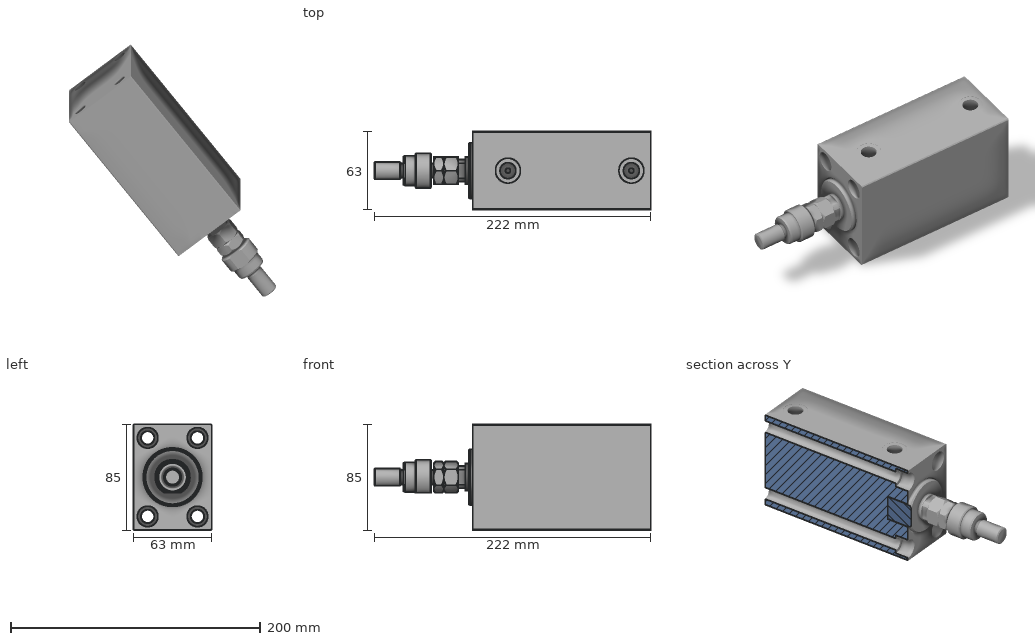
import cadquery as cq
import math


HOUSING_LENGTH = 143.0
HOUSING_WIDTH = 63.0
HOUSING_HEIGHT = 85.0
LONG_EDGE_CHAMFER = 0.8

BOLT_SPACING_Y = 40.0
BOLT_SPACING_Z = 63.0
BOLT_HOLE_DIAMETER = 10.5
BOLT_HEAD_DIAMETER = 16.5
BOLT_HEAD_DEPTH = 12.0

FRONT_PORT_X = 28.3
PORT_SPACING = 99.0
PORT_DIAMETER = 12.8
PORT_DEPTH = 15.0
PORT_SEAT_DIAMETER = 20.0
PORT_SEAT_DEPTH = 0.2
PORT_DRILL_DIAMETER = 4.0

GLAND_DIAMETER = 45.0
GLAND_PROJECTION = 3.2
GLAND_INSERTION = 20.0
GLAND_CHAMFER_LENGTH = 1.3
GLAND_CHAMFER_DEPTH = 0.9
GLAND_SEAT_CHAMFER = 1.0

ROD_DIAMETER = 22.0
ROD_COLLAR_LENGTH = 2.8
ROD_FLATS_LENGTH = 5.4
ROD_FLATS_WIDTH = 18.0
ROD_FLATS_CORNER_DIAMETER = 21.6
ROD_PAST_REAR_PORT = 6.0
THREAD_DIAMETER = 14.0
THREAD_IN_COUPLING = 6.0

HEX_ACROSS_FLATS = 22.0
LOCK_NUT_LENGTH = 11.7
COUPLING_HEX_LENGTH = 8.2

NECK_DIAMETER = 11.8
NECK_LENGTH = 1.9
CASE_DIAMETER = 28.0
CASE_LENGTH = 12.9
CASE_CHAMFER = 0.9
CASE_FLAT_DISTANCE = 12.7
SHOULDER_DIAMETER = 24.0
SHOULDER_LENGTH = 9.4
SHOULDER_CHAMFER_LENGTH = 1.3
SHOULDER_CHAMFER_DEPTH = 0.7
UNDERCUT_LENGTH = 2.1
STUD_LENGTH = 21.4
STUD_TIP_CHAMFER_LENGTH = 0.7
STUD_END_CHAMFER_LENGTH = 1.0

gland_front_x = -GLAND_PROJECTION
collar_front_x = gland_front_x - ROD_COLLAR_LENGTH
nut_rear_x = collar_front_x - ROD_FLATS_LENGTH
hex_rear_x = nut_rear_x - LOCK_NUT_LENGTH
hex_front_x = hex_rear_x - COUPLING_HEX_LENGTH
case_rear_x = hex_front_x - NECK_LENGTH
case_front_x = case_rear_x - CASE_LENGTH
shoulder_front_x = case_front_x - SHOULDER_LENGTH
stud_rear_x = shoulder_front_x - UNDERCUT_LENGTH
tip_x = stud_rear_x - STUD_LENGTH
thread_front_x = hex_rear_x - THREAD_IN_COUPLING

port_positions_x = [FRONT_PORT_X, FRONT_PORT_X + PORT_SPACING]
rod_rear_x = port_positions_x[-1] + ROD_PAST_REAR_PORT


def axial_cylinder(diameter, start_x, end_x):
    """Cylinder about the rod axis."""
    return cq.Workplane("YZ").workplane(offset=start_x).circle(diameter / 2).extrude(end_x - start_x)


def turned(profile):
    """Solid turned about the rod axis from (x, radius) points that start and end on the axis."""
    return cq.Workplane("XY").polyline(profile).close().revolve(360, (0, 0, 0), (1, 0, 0))


def chamfered_hex(start_x, length):
    """Hexagon bar with corners up and down, its corners turned off conically at both ends."""
    across_corners = HEX_ACROSS_FLATS / math.cos(math.radians(30))
    flat_radius = HEX_ACROSS_FLATS / 2
    corner_radius = across_corners / 2
    chamfer = corner_radius - flat_radius
    end_x = start_x + length
    bar = (
        cq.Workplane("YZ")
        .workplane(offset=start_x)
        .polygon(6, across_corners)
        .extrude(length)
        .rotate((0, 0, 0), (1, 0, 0), 90)
    )
    envelope = turned(
        [
            (start_x, 0),
            (start_x, flat_radius),
            (start_x + chamfer, corner_radius),
            (end_x - chamfer, corner_radius),
            (end_x, flat_radius),
            (end_x, 0),
        ]
    )
    return bar.intersect(envelope)


def make_port(center_x):
    """Threaded port from the top face: shallow seat, port bore and a small drill down to the rod."""
    top_z = HOUSING_HEIGHT / 2
    steps = [
        (PORT_SEAT_DIAMETER, PORT_SEAT_DEPTH),
        (PORT_DIAMETER, PORT_DEPTH),
        (PORT_DRILL_DIAMETER, top_z),
    ]
    top = cq.Workplane("XY").center(center_x, 0).workplane(offset=top_z)
    port = cq.Workplane("XY")
    for diameter, depth in steps:
        port = port.add(top.circle(diameter / 2).extrude(-depth))
    return port.combine()


def make_housing():
    """Rectangular block with counterbored bolt holes, two ports, the gland seat and the rod bore."""
    housing = (
        cq.Workplane("XY")
        .box(HOUSING_LENGTH, HOUSING_WIDTH, HOUSING_HEIGHT, centered=(False, True, True))
        .edges("|X")
        .chamfer(LONG_EDGE_CHAMFER)
    )
    housing = (
        housing.faces("<X")
        .workplane(centerOption="CenterOfBoundBox")
        .rect(BOLT_SPACING_Y, BOLT_SPACING_Z, forConstruction=True)
        .vertices()
        .cboreHole(BOLT_HOLE_DIAMETER, BOLT_HEAD_DIAMETER, BOLT_HEAD_DEPTH)
    )
    for center_x in port_positions_x:
        housing = housing.cut(make_port(center_x))

    seat_radius = GLAND_DIAMETER / 2
    gland_seat = turned(
        [
            (0, 0),
            (0, seat_radius + GLAND_SEAT_CHAMFER),
            (GLAND_SEAT_CHAMFER, seat_radius),
            (GLAND_INSERTION, seat_radius),
            (GLAND_INSERTION, 0),
        ]
    )
    rod_bore = axial_cylinder(ROD_DIAMETER, 0, rod_rear_x)
    return housing.cut(gland_seat).cut(rod_bore)


def make_gland():
    """Round guide bush that stands proud of the housing and carries the rod."""
    radius = GLAND_DIAMETER / 2
    gland = turned(
        [
            (gland_front_x, 0),
            (gland_front_x, radius - GLAND_CHAMFER_DEPTH),
            (gland_front_x + GLAND_CHAMFER_LENGTH, radius),
            (GLAND_INSERTION, radius),
            (GLAND_INSERTION, 0),
        ]
    )
    return gland.cut(axial_cylinder(ROD_DIAMETER, gland_front_x, GLAND_INSERTION))


def make_rod():
    """Rod with a square set of wrench flats and a threaded end for the nut and coupling."""
    body = axial_cylinder(ROD_DIAMETER, collar_front_x, rod_rear_x)
    flats = (
        cq.Workplane("YZ")
        .workplane(offset=nut_rear_x)
        .rect(ROD_FLATS_WIDTH, ROD_FLATS_WIDTH)
        .extrude(ROD_FLATS_LENGTH)
        .intersect(axial_cylinder(ROD_FLATS_CORNER_DIAMETER, nut_rear_x, collar_front_x))
    )
    thread = axial_cylinder(THREAD_DIAMETER, thread_front_x, nut_rear_x)
    return body.union(flats).union(thread)


def make_lock_nut():
    """Hexagon nut on the rod thread, between the wrench flats and the coupling."""
    nut = chamfered_hex(hex_rear_x, LOCK_NUT_LENGTH)
    return nut.cut(axial_cylinder(THREAD_DIAMETER, hex_rear_x, nut_rear_x))


def make_coupling():
    """Coupling with a stud at the tip, a stepped round case with one flat, and a hexagon on the rod."""
    stud_radius = THREAD_DIAMETER / 2
    neck_radius = NECK_DIAMETER / 2
    shoulder_radius = SHOULDER_DIAMETER / 2
    case_radius = CASE_DIAMETER / 2
    turned_part = turned(
        [
            (tip_x, 0),
            (tip_x, neck_radius),
            (tip_x + STUD_TIP_CHAMFER_LENGTH, stud_radius),
            (stud_rear_x - STUD_END_CHAMFER_LENGTH, stud_radius),
            (stud_rear_x, neck_radius),
            (shoulder_front_x, neck_radius),
            (shoulder_front_x, shoulder_radius - SHOULDER_CHAMFER_DEPTH),
            (shoulder_front_x + SHOULDER_CHAMFER_LENGTH, shoulder_radius),
            (case_front_x, shoulder_radius),
            (case_front_x, case_radius - CASE_CHAMFER),
            (case_front_x + CASE_CHAMFER, case_radius),
            (case_rear_x - CASE_CHAMFER, case_radius),
            (case_rear_x, case_radius - CASE_CHAMFER),
            (case_rear_x, neck_radius),
            (hex_front_x, neck_radius),
            (hex_front_x, 0),
        ]
    )
    below_flat = (
        cq.Workplane("XY")
        .workplane(offset=-CASE_FLAT_DISTANCE)
        .center((case_front_x + case_rear_x) / 2, 0)
        .rect(CASE_LENGTH, CASE_DIAMETER)
        .extrude(CASE_FLAT_DISTANCE - case_radius)
    )
    coupling = turned_part.cut(below_flat).union(chamfered_hex(hex_front_x, COUPLING_HEX_LENGTH))
    return coupling.cut(axial_cylinder(THREAD_DIAMETER, thread_front_x, hex_rear_x))


housing = make_housing()
gland = make_gland()
rod = make_rod()
lock_nut = make_lock_nut()
coupling = make_coupling()

result = cq.Compound.makeCompound(
    [housing.val(), gland.val(), rod.val(), lock_nut.val(), coupling.val()]
)